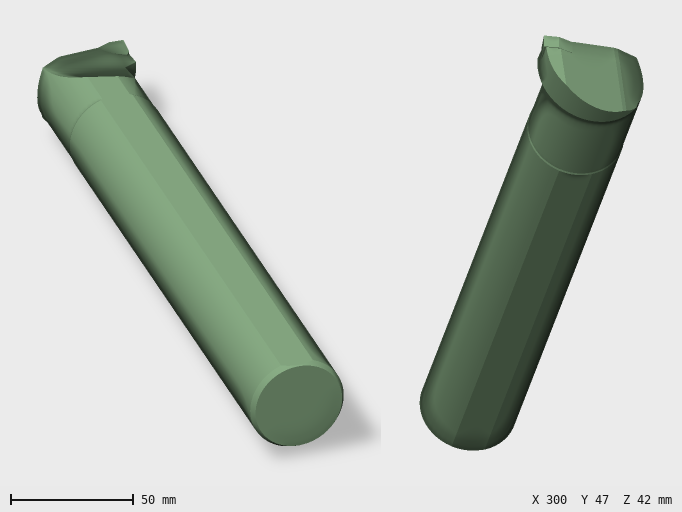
import cadquery as cq
import math

bar_length = 300.0
shank_radius = 20.0
flat_height = 19.0
neck_radius = 19.8
shoulder_x = 70.5
shoulder_length = 1.0
end_chamfer_length = 2.5
end_chamfer_depth = 1.5

head_radius = 23.0
head_offset = 3.0
head_cone_front_radius = 44.7

rake_rise_x = 0.13
rake_fall_y = 0.19
rake_height = 4.8
ramp_start = 25.8
ramp_radius = 60.0
ramp_angle = math.radians(42)

nose_corner = (0, 20.7)
lead_corner = (13.2, -5.5)
rear_corner = (25.2, -16.2)
corner_flat = 1.2
wall_band = 6.3
lower_wall_relief = 2.0

tip_y = 27.0
insert_top = 2.25
insert_thickness = 5.0
insert_edge_length = 7.0
insert_back = (12.0, 24.5)
insert_back_bend = (8.7, 18.5)
insert_side = (9.5, 26.0)

clear = 90.0

rake_plane = cq.Plane(
    origin=(0, 0, rake_height),
    xDir=(1, 0, rake_rise_x),
    normal=(-rake_rise_x, rake_fall_y, 1),
)


def on_rake(x, y):
    """Rake-plane coordinates of the point of that plane above (x, y)."""
    z = rake_height + rake_rise_x * x - rake_fall_y * y
    local = rake_plane.toLocalCoords(cq.Vector(x, y, z))
    return local.x, local.y


def toward(start, end, distance):
    """Point at a distance from start on the way to end."""
    ratio = distance / math.dist(start, end)
    return tuple(a + ratio * (b - a) for a, b in zip(start, end))


def make_bar_blank():
    """Neck and shank turned about the X axis, with the two clamping flats."""
    bar = (
        cq.Workplane("XY")
        .moveTo(0, 0)
        .lineTo(0, neck_radius)
        .lineTo(shoulder_x - shoulder_length, neck_radius)
        .lineTo(shoulder_x, shank_radius)
        .lineTo(bar_length - end_chamfer_length, shank_radius)
        .lineTo(bar_length, shank_radius - end_chamfer_depth)
        .lineTo(bar_length, 0)
        .close()
        .revolve(360, (0, 0, 0), (1, 0, 0))
    )
    top_flat = cq.Workplane("XY").box(
        bar_length, clear, clear, centered=(False, True, False)
    ).translate((0, 0, flat_height))
    bottom_flat = cq.Workplane("XY").box(
        bar_length - shoulder_x, clear, clear, centered=(False, True, False)
    ).translate((shoulder_x, 0, -flat_height - clear))
    return bar.cut(top_flat).cut(bottom_flat)


def make_head_blank():
    """Offset cylinder trimmed at the back by a 45 degree cone on the shank axis."""
    cylinder = cq.Workplane("YZ").center(head_offset, 0).circle(head_radius).extrude(shoulder_x / 2)
    cone = (
        cq.Workplane("XY")
        .polyline([(0, 0), (0, head_cone_front_radius), (head_cone_front_radius, 0)])
        .close()
        .revolve(360, (0, 0, 0), (1, 0, 0))
    )
    return cylinder.intersect(cone)


def make_rake_cutter():
    """Space above the rake plane, ending in a concave ramp up to the top flat."""
    ramp_end = ramp_start + ramp_radius * math.sin(ramp_angle)
    ramp_top = ramp_radius * (1 - math.cos(ramp_angle))
    ramp_middle = (
        ramp_start + ramp_radius * math.sin(ramp_angle / 2),
        ramp_radius * (1 - math.cos(ramp_angle / 2)),
    )
    side = cq.Plane(origin=rake_plane.origin, xDir=rake_plane.xDir, normal=-rake_plane.yDir)
    return (
        cq.Workplane(side)
        .moveTo(-clear, 0)
        .lineTo(ramp_start, 0)
        .threePointArc(ramp_middle, (ramp_end, ramp_top))
        .lineTo(ramp_end, clear)
        .lineTo(-clear, clear)
        .close()
        .extrude(clear, both=True)
    )


def make_wall_envelope():
    """Space behind the leading walls: a square band with relieved walls below it."""
    outline = [
        (0, clear),
        nose_corner,
        toward(lead_corner, nose_corner, corner_flat),
        toward(lead_corner, rear_corner, corner_flat),
        toward(lead_corner, rear_corner, clear),
        (bar_length + clear, -clear),
        (bar_length + clear, clear),
    ]
    points = [on_rake(x, y) for x, y in outline]
    band = (
        cq.Workplane(rake_plane)
        .workplane(offset=-wall_band)
        .polyline(points)
        .close()
        .extrude(clear)
    )
    lower = (
        cq.Workplane(rake_plane)
        .workplane(offset=-wall_band)
        .polyline(points)
        .close()
        .extrude(-clear, taper=lower_wall_relief)
    )
    return band.union(lower)


def make_insert(height):
    """Level tip plate standing on the pocket floor."""
    outline = [
        (0, tip_y),
        nose_corner,
        toward(nose_corner, lead_corner, insert_edge_length),
        insert_back_bend,
        insert_back,
        insert_side,
    ]
    return (
        cq.Workplane("XY")
        .workplane(offset=insert_top - insert_thickness)
        .polyline(outline)
        .close()
        .extrude(height)
    )


holder = (
    make_bar_blank()
    .union(make_head_blank())
    .cut(make_rake_cutter())
    .intersect(make_wall_envelope())
    .cut(make_insert(clear))
)
insert = make_insert(insert_thickness)

result = cq.Compound.makeCompound([holder.val(), insert.val()])